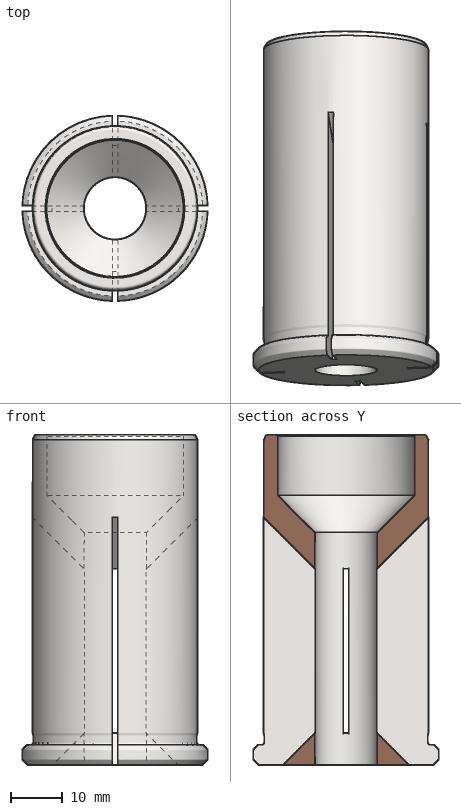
import cadquery as cq

length = 64.0
body_radius = 16.0
rim_chamfer_width = 0.45
rim_chamfer_height = 0.95
rim_fillet = 0.5

flange_radius = 18.0
flange_top = 4.0
flange_bottom_chamfer = 1.0
flange_top_chamfer = 0.95
flange_edge_fillet = 0.3
groove_depth = 0.1
groove_root_radius = body_radius - groove_depth
groove_foot_fillet = 0.4
groove_top = 5.7
groove_taper_top = 6.2

bore_radius = 12.0 / 2
socket_radius = 26.5 / 2
socket_depth = 11.7
socket_chamfer = 0.25
socket_floor = length - socket_depth
funnel_bottom = socket_floor - (socket_radius - bore_radius)

slot_width = 1.0
slot_outer_top = 48.0
slot_inner_top = slot_outer_top - (body_radius - bore_radius)
slot_inner_bottom = groove_taper_top
slot_outer_bottom_radius = bore_radius + slot_inner_bottom
slot_count = 4


def make_sleeve():
    """Revolve the wall section (radius, height) about the Z axis."""
    section = [
        (bore_radius, 0),
        (flange_radius - flange_bottom_chamfer, 0),
        (flange_radius, flange_bottom_chamfer),
        (flange_radius, flange_top - flange_top_chamfer),
        (flange_radius - flange_top_chamfer, flange_top),
        (groove_root_radius, flange_top),
        (groove_root_radius, groove_top),
        (body_radius, groove_taper_top),
        (body_radius, length - rim_chamfer_height),
        (body_radius - rim_chamfer_width, length),
        (socket_radius + socket_chamfer, length),
        (socket_radius, length - socket_chamfer),
        (socket_radius, socket_floor),
        (bore_radius, funnel_bottom),
    ]
    return cq.Workplane("XZ").polyline(section).close().revolve(360, (0, 0), (0, 1))


def round_edge(body, radius, height, fillet):
    """Fillet the circular edge with the given radius at the given height."""
    tolerance = 0.005

    def is_wanted(edge):
        if edge.geomType() != "CIRCLE":
            return False
        at_height = abs(edge.Center().z - height) < tolerance
        return at_height and abs(edge.radius() - radius) < tolerance

    return body.edges().filter(is_wanted).fillet(fillet)


def make_slot_cutter():
    """Slot in the +X wall, its ends sloping at 45 degrees towards the bore."""
    outer_reach = flange_radius + 0.65
    outline = [
        (0, slot_inner_top - bore_radius),
        (body_radius, slot_outer_top),
        (outer_reach, slot_outer_top),
        (outer_reach, 0),
        (slot_outer_bottom_radius, 0),
        (0, slot_outer_bottom_radius),
    ]
    return cq.Workplane("XZ").polyline(outline).close().extrude(slot_width / 2, both=True)


result = make_sleeve()
result = round_edge(result, body_radius - rim_chamfer_width, length, rim_fillet)
result = round_edge(result, groove_root_radius, flange_top, groove_foot_fillet)
for height in (flange_bottom_chamfer, flange_top - flange_top_chamfer):
    result = round_edge(result, flange_radius, height, flange_edge_fillet)
result = round_edge(result, flange_radius - flange_top_chamfer, flange_top, flange_edge_fillet)

slot_cutter = make_slot_cutter()
for index in range(slot_count):
    angle = index * 360 / slot_count
    result = result.cut(slot_cutter.rotate((0, 0, 0), (0, 0, 1), angle))